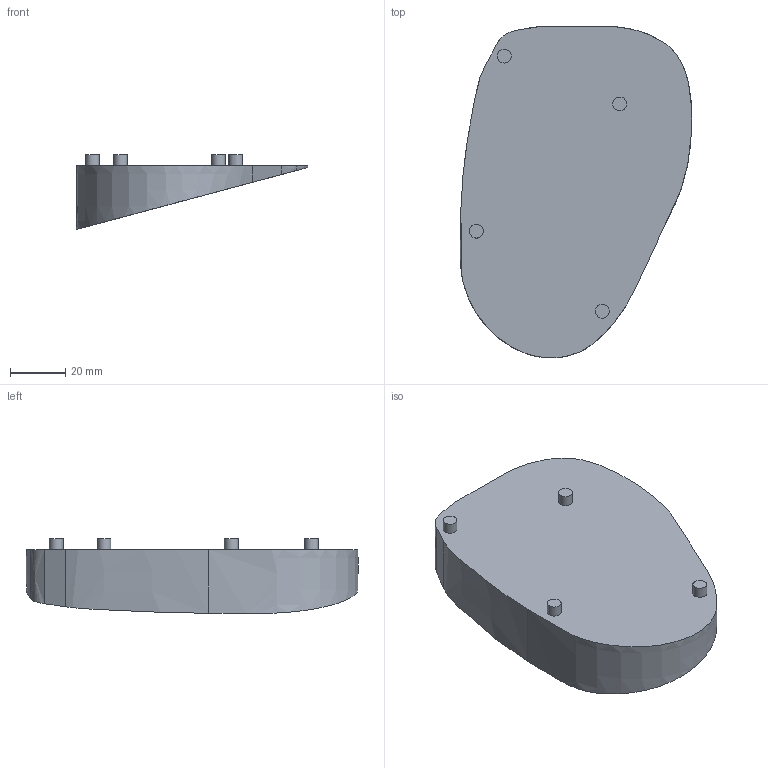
import cadquery as cq
import math

WIDTH = 83.78
LENGTH = 120.24
HEIGHT = 27.12

PIN_DIAMETER = 5.0
PIN_HEIGHT = 4.0
PIN_CENTRES = [(15.9, 109.3), (57.7, 92.0), (5.8, 45.9), (51.4, 16.9)]

UNDERSIDE_ANGLE = 15.0
TOP_Z = HEIGHT - PIN_HEIGHT
CUT_MARGIN = 5.0

CORNER_END = (20.5, 118.7)
LEFT_FLAT_TOP = (13.1, 113.5)
LEFT_FLAT_BOTTOM = (9.0, 105.9)
LEFT_SIDE_BOTTOM = (0.2, 54.0)
RIGHT_LINE_BOTTOM = (63.7, 25.8)
RIGHT_LINE_TOP = (74.3, 48.6)
RIGHT_BEND_TOP = (79.8, 60.7)

CORNER_CURVE = [(16.2, 117.1)]
LEFT_CURVE = [(4.8, 91.9), (1.9, 74.5)]
FRONT_CURVE = [
    (0.02, 42.0),
    (0.6, 29.3),
    (7.6, 13.7),
    (19.0, 3.7),
    (32.4, 0.0),
    (44.0, 2.6),
    (55.0, 12.0),
]
BACK_CURVE = [
    (82.3, 70.0),
    (83.76, 85.0),
    (82.6, 99.6),
    (78.0, 110.2),
    (68.0, 117.2),
    (48.0, LENGTH),
    (34.0, 120.0),
]

LEFT_SIDE_DIRECTION = (-0.03, -1.0)
RIGHT_BEND_DIRECTION = (0.36, 1.0)
CORNER_DIRECTION = (-1.0, -0.2)


def direction(start, end):
    """Vector from one outline point to another."""
    return (end[0] - start[0], end[1] - start[1])


def make_prism():
    """Vertical-walled block with the rounded outline, as deep as the thick side."""
    left_flat = direction(LEFT_FLAT_TOP, LEFT_FLAT_BOTTOM)
    right_line = direction(RIGHT_LINE_BOTTOM, RIGHT_LINE_TOP)
    curves_to_right_line = [
        (LEFT_CURVE + [LEFT_SIDE_BOTTOM], left_flat, LEFT_SIDE_DIRECTION),
        (FRONT_CURVE + [RIGHT_LINE_BOTTOM], LEFT_SIDE_DIRECTION, right_line),
    ]
    curves_to_left_flat = [
        ([RIGHT_BEND_TOP], right_line, RIGHT_BEND_DIRECTION),
        (BACK_CURVE + [CORNER_END], RIGHT_BEND_DIRECTION, CORNER_DIRECTION),
        (CORNER_CURVE + [LEFT_FLAT_TOP], CORNER_DIRECTION, left_flat),
    ]
    outline = cq.Workplane("XY").moveTo(*LEFT_FLAT_TOP).lineTo(*LEFT_FLAT_BOTTOM)
    for points, start, end in curves_to_right_line:
        outline = outline.spline(points, tangents=[start, end], includeCurrent=True)
    outline = outline.lineTo(*RIGHT_LINE_TOP)
    for points, start, end in curves_to_left_flat:
        outline = outline.spline(points, tangents=[start, end], includeCurrent=True)
    return outline.close().extrude(TOP_Z)


def slope_underside(prism):
    """Remove everything below the sloping plane through the lower left edge."""
    slope = math.tan(math.radians(UNDERSIDE_ANGLE))
    left = -CUT_MARGIN
    right = WIDTH + CUT_MARGIN
    floor = left * slope - CUT_MARGIN
    waste = (
        cq.Workplane("XZ", origin=(0, -CUT_MARGIN, 0))
        .polyline([(left, floor), (right, floor), (right, right * slope), (left, left * slope)])
        .close()
        .extrude(-(LENGTH + 2 * CUT_MARGIN))
    )
    return prism.cut(waste)


def add_pins(body):
    """Round pins standing on the top face."""
    pins = (
        cq.Workplane("XY", origin=(0, 0, TOP_Z))
        .pushPoints(PIN_CENTRES)
        .circle(PIN_DIAMETER / 2)
        .extrude(PIN_HEIGHT)
    )
    return body.union(pins)


body = slope_underside(make_prism())
result = add_pins(body)